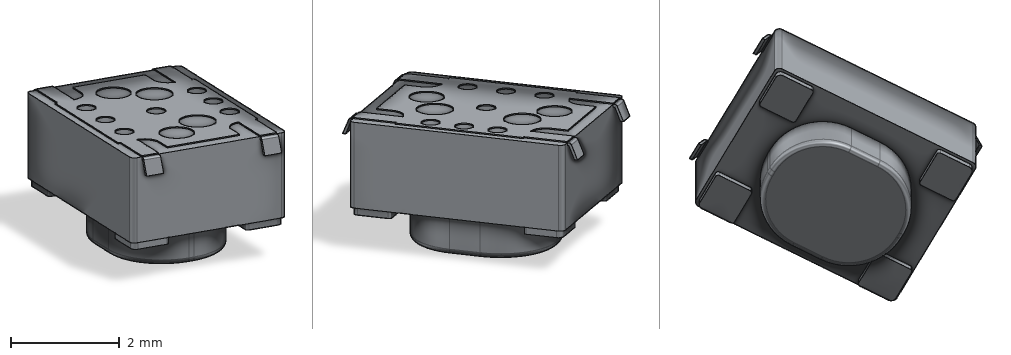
import cadquery as cq
import math


overall_length = 4.6
housing_length = 4.2
housing_width = 3.2
housing_height = 1.655
housing_corner_radius = 0.1

button_length = 2.8
button_width = 2.3
button_corner_radius = 1.1
button_drop = 0.84
button_edge_radius = 0.1

foot_size = 0.75
foot_height = 0.145
foot_inset = 0.05
foot_outer_radius = housing_corner_radius
foot_inner_radius = 0.05

terminal_thickness = 0.055
terminal_width = 0.35
terminal_inner_y = 1.05
terminal_drop = 0.315
terminal_lean = math.radians(23)

panel_height = 0.025
panel_center_half_length = 1.25
panel_half_width = 1.45
panel_lobe_half_length = 1.87
panel_lobe_half_width = 0.75

small_recess_diameter = 0.35
small_recess_points = [
    (0, 0),
    (0, 1.18), (-0.655, 1.18), (0.655, 1.18),
    (0, -1.055), (-0.75, -1.055), (0.75, -1.055),
]
rear_recess_diameter = 0.685
rear_recess_points = [(-0.855, 0.41), (0.855, 0.41)]
front_recess_diameter = 0.65
front_recess_points = [(-panel_center_half_length, -0.23), (panel_center_half_length, -0.23)]

terminal_reach = (overall_length - housing_length) / 2
terminal_center_y = terminal_inner_y + terminal_width / 2
panel_notch_radius = terminal_inner_y - panel_lobe_half_width


def centered_box(length, width, height, bottom):
    """Box centered on the Z axis with its underside at the given height."""
    return cq.Workplane("XY", origin=(0, 0, bottom)).rect(length, width).extrude(height)


def make_raised_panel():
    """Thin panel with end lobes, strips over the terminals and round recesses."""
    center = centered_box(2 * panel_center_half_length, 2 * panel_half_width, panel_height, housing_height)
    lobes = centered_box(2 * panel_lobe_half_length, 2 * panel_lobe_half_width, panel_height, housing_height)
    panel = center.union(lobes)
    for side_x in (-1, 1):
        for side_y in (-1, 1):
            corner = (
                side_x * panel_center_half_length,
                side_y * panel_lobe_half_width,
                housing_height + panel_height / 2,
            )
            panel = panel.edges(cq.NearestToPointSelector(corner)).fillet(panel_notch_radius)
    for side_y in (-1, 1):
        strip = centered_box(housing_length, terminal_width, panel_height, housing_height)
        panel = panel.union(strip.translate((0, side_y * terminal_center_y, 0)))
    for diameter, points in (
        (small_recess_diameter, small_recess_points),
        (rear_recess_diameter, rear_recess_points),
        (front_recess_diameter, front_recess_points),
    ):
        recesses = (
            cq.Workplane("XY", origin=(0, 0, housing_height))
            .pushPoints(points)
            .circle(diameter / 2)
            .extrude(panel_height)
        )
        panel = panel.cut(recesses)
    return panel


def make_button():
    """Button with a rounded lower rim, ending at the housing underside."""
    return (
        centered_box(button_length, button_width, button_drop, -button_drop)
        .edges("|Z")
        .fillet(button_corner_radius)
        .faces("<Z")
        .edges()
        .fillet(button_edge_radius)
    )


def make_foot(side_x, side_y):
    """Square pad whose outer corner follows the housing corner."""
    center_x = side_x * (housing_length / 2 - foot_inset - foot_size / 2)
    center_y = side_y * (housing_width / 2 - foot_inset - foot_size / 2)
    outer_corner = (side_x * foot_size / 2, side_y * foot_size / 2, -foot_height / 2)
    foot = centered_box(foot_size, foot_size, foot_height, -foot_height)
    foot = foot.edges(cq.NearestToPointSelector(outer_corner)).fillet(foot_outer_radius)
    for inner_x, inner_y in ((-1, 1), (1, -1), (-1, -1)):
        inner_corner = (inner_x * outer_corner[0], inner_y * outer_corner[1], outer_corner[2])
        foot = foot.edges(cq.NearestToPointSelector(inner_corner)).fillet(foot_inner_radius)
    return foot.translate((center_x, center_y, 0))


def make_housing():
    """Housing block in one piece with its raised panel, button and feet."""
    housing = centered_box(housing_length, housing_width, housing_height, 0)
    housing = housing.edges("|Z").fillet(housing_corner_radius)
    housing = housing.union(make_raised_panel()).union(make_button())
    for side_x in (-1, 1):
        for side_y in (-1, 1):
            housing = housing.union(make_foot(side_x, side_y))
    return housing


def make_terminal():
    """Strip on the +X wall: a short flat, a round bend, then a leg leaning outward."""
    wall_x = housing_length / 2
    tip_x = wall_x + terminal_reach
    tip_z = housing_height - terminal_drop
    inner_tip_x = tip_x - terminal_thickness / math.cos(terminal_lean)
    bend_z = housing_height - terminal_thickness
    bend_x = inner_tip_x - (bend_z - tip_z) * math.tan(terminal_lean)

    def bend_point(angle):
        """Point on the outer side of the bend, at an angle from +X."""
        return (
            bend_x + terminal_thickness * math.cos(angle),
            bend_z + terminal_thickness * math.sin(angle),
        )

    return (
        cq.Workplane("XZ")
        .moveTo(wall_x, bend_z)
        .lineTo(wall_x, housing_height)
        .lineTo(bend_x, housing_height)
        .threePointArc(bend_point((terminal_lean + math.pi / 2) / 2), bend_point(terminal_lean))
        .lineTo(tip_x, tip_z)
        .lineTo(inner_tip_x, tip_z)
        .lineTo(bend_x, bend_z)
        .close()
        .extrude(terminal_width / 2, both=True)
    )


housing = make_housing()

terminals = []
for turn in (0, 180):
    for side_y in (-1, 1):
        terminal = make_terminal().translate((0, side_y * terminal_center_y, 0))
        terminals.append(terminal.rotate((0, 0, 0), (0, 0, 1), turn).val())

result = cq.Compound.makeCompound([housing.val(), *terminals])